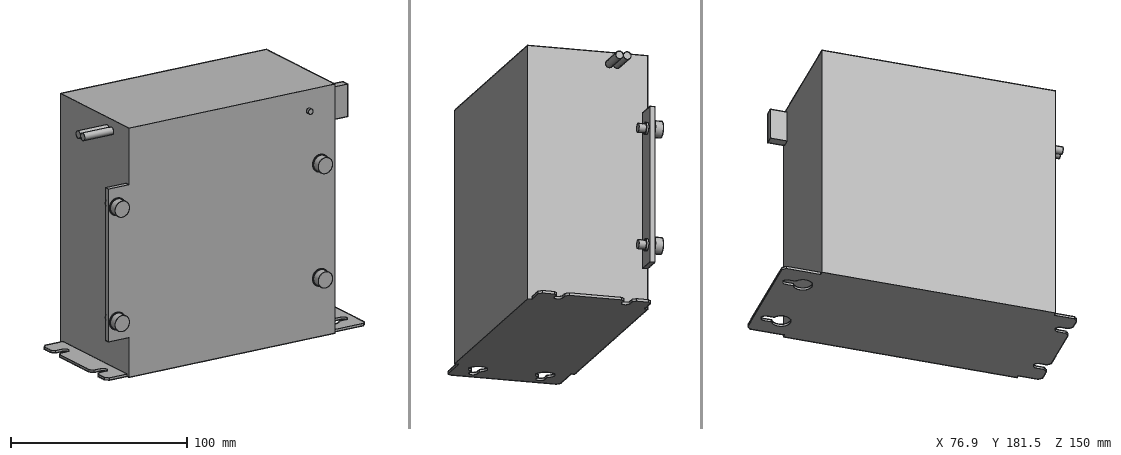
import cadquery as cq

housing_width = 71.5
housing_depth = 139.5
housing_height = 150.0

plate_width = 67.0
plate_thickness = 1.5
plate_center_x = 36.0
front_reach = 14.0
rear_reach = 22.5
plate_corner_chamfer = 2.0
hole_spacing = 40.0
slot_width = 5.0
front_slot_center_y = -7.5
keyhole_diameter = 11.0
keyhole_center_y = housing_depth + 6.25
keyhole_slot_end_y = housing_depth + 15.6

bracket_thickness = 3.0
bracket_length = 92.0
bracket_center_z = 70.0

screw_spacing_z = 68.8
front_screw_y = -8.1
rear_screw_y = housing_depth - 10.0
washer_diameter = 10.5
washer_thickness = 0.6
head_diameter = 9.7
head_protrusion = 5.4
collar_diameter = 7.0
collar_thickness = 1.2
shank_diameter = 5.2
shank_protrusion = 5.4

lead_diameter = 4.5
lead_length = 19.5
lead_spacing = 4.6
lead_center_x = 50.9
lead_center_z = housing_height - 6.9

pin_diameter = 3.2
pin_protrusion = 2.0
pin_y = housing_depth - 17.7
pin_z = housing_height - 12.7

connector_left_x = 64.3
connector_width = 5.2
connector_reach = 10.0
connector_height = 19.6
connector_top_z = housing_height - 2.5

hole_xs = [plate_center_x - hole_spacing / 2, plate_center_x + hole_spacing / 2]
screw_zs = [bracket_center_z - screw_spacing_z / 2, bracket_center_z + screw_spacing_z / 2]


def box(corner, size):
    """Block given by its lowest corner and its X, Y, Z size."""
    return cq.Workplane("XY").box(*size, centered=False).translate(corner)


def disc_along_x(x_start, x_end, y, z, diameter):
    """Cylinder parallel to X between two X positions."""
    plane = cq.Workplane("YZ", origin=(x_start, y, z))
    return plane.circle(diameter / 2).extrude(x_end - x_start)


def straight_slot(x, y_start, y_end):
    """Cutter for a slot along Y with round ends centred at y_start and y_end."""
    return (
        cq.Workplane("XY")
        .center(x, (y_start + y_end) / 2)
        .slot2D(y_end - y_start + slot_width, slot_width, 90)
        .extrude(plate_thickness)
    )


def mounting_plate():
    """Plate with two open slots at the front and two keyholes at the rear."""
    depth = front_reach + housing_depth + rear_reach
    plate = box(
        (plate_center_x - plate_width / 2, -front_reach, 0),
        (plate_width, depth, plate_thickness),
    )
    for x in hole_xs:
        plate = plate.cut(straight_slot(x, -front_reach - slot_width, front_slot_center_y))
    plate = plate.edges("|Z").edges("<Y").chamfer(plate_corner_chamfer)
    plate = plate.edges("|Z").edges(">Y").chamfer(plate_corner_chamfer)
    for x in hole_xs:
        keyhole = cq.Workplane("XY").center(x, keyhole_center_y)
        plate = plate.cut(keyhole.circle(keyhole_diameter / 2).extrude(plate_thickness))
        plate = plate.cut(straight_slot(x, keyhole_center_y, keyhole_slot_end_y))
    return plate


def side_bracket():
    """Flat strip standing out at the front, flush with the right face."""
    return box(
        (housing_width - bracket_thickness, -front_reach, bracket_center_z - bracket_length / 2),
        (bracket_thickness, front_reach, bracket_length),
    )


def screw_head(y, z):
    """Washer and round head on the right face."""
    washer = disc_along_x(housing_width, housing_width + washer_thickness, y, z, washer_diameter)
    head = disc_along_x(housing_width, housing_width + head_protrusion, y, z, head_diameter)
    return washer.union(head)


def screw_end(y, z):
    """Collar and shank end on the inner face of the bracket."""
    inner_face_x = housing_width - bracket_thickness
    collar = disc_along_x(inner_face_x - collar_thickness, inner_face_x, y, z, collar_diameter)
    shank = disc_along_x(inner_face_x - shank_protrusion, inner_face_x, y, z, shank_diameter)
    return collar.union(shank)


def lead(x):
    """Round lead sticking out of the front face."""
    front_face = cq.Workplane("XZ", origin=(x, 0, lead_center_z))
    return front_face.circle(lead_diameter / 2).extrude(lead_length)


def connector():
    """Block on the rear face near the upper right corner."""
    return box(
        (connector_left_x, housing_depth, connector_top_z - connector_height),
        (connector_width, connector_reach, connector_height),
    )


result = box((0, 0, 0), (housing_width, housing_depth, housing_height))
result = result.union(mounting_plate()).union(side_bracket())
for screw_z in screw_zs:
    result = result.union(screw_head(front_screw_y, screw_z))
    result = result.union(screw_end(front_screw_y, screw_z))
    result = result.union(screw_head(rear_screw_y, screw_z))
for side in (-1, 1):
    result = result.union(lead(lead_center_x + side * lead_spacing / 2))
pin = disc_along_x(housing_width, housing_width + pin_protrusion, pin_y, pin_z, pin_diameter)
result = result.union(pin)
result = result.union(connector())